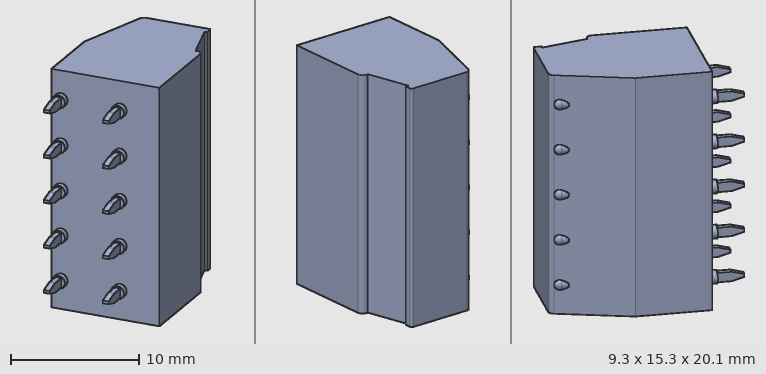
import cadquery as cq
import math

WIDTH = 9.3
DEPTH = 12.6
HEIGHT = 20.15

SLOPE_START = 6.17
SLOPE_ANGLE = 17.5
SLOPE_FILLET = 0.5

LIP_X = 7.92
LIP_HEIGHT = 0.7
LIP_UNDERCUT = 0.25
LIP_FILLET = 0.2
SHOULDER_Y = 8.1
SHOULDER_WIDTH = 0.62
SHOULDER_FILLET = 0.5

POLES = 5
PITCH = 3.81
FIRST_Z = (HEIGHT - (POLES - 1) * PITCH) / 2
PIN_COLUMNS = (0.85, 5.93)

COLLAR_DIAMETER = 1.1
COLLAR_LENGTH = 0.52
PIN_LENGTH = 2.7
BLADE_THICKNESS = 0.5
BLADE_WIDTH = 0.8
TAPER_START = 1.67
TIP_WIDTH = 0.25

BUTTON_RADIUS = 0.55
BUTTON_X = 2.1
BUTTON_Y = 11.71
BUTTON_LENGTH = 2.02


def make_housing():
    slope_run = (DEPTH - SLOPE_START) * math.tan(math.radians(SLOPE_ANGLE))
    lip_y = DEPTH - LIP_HEIGHT
    outline = [
        (0, 0),
        (0, SLOPE_START),
        (slope_run, DEPTH),
        (LIP_X, DEPTH),
        (LIP_X, lip_y),
        (LIP_X - LIP_UNDERCUT, lip_y),
        (WIDTH - SHOULDER_WIDTH, SHOULDER_Y),
        (WIDTH, SHOULDER_Y),
        (WIDTH, 0),
    ]
    housing = cq.Workplane("XY").polyline(outline).close().extrude(HEIGHT)

    def round_corner(body, x, y, radius):
        corner = cq.selectors.NearestToPointSelector((x, y, HEIGHT / 2))
        return body.edges("|Z").edges(corner).fillet(radius)

    housing = round_corner(housing, slope_run, DEPTH, SLOPE_FILLET)
    housing = round_corner(housing, LIP_X, DEPTH, LIP_FILLET)
    return round_corner(housing, WIDTH, SHOULDER_Y, SHOULDER_FILLET)


def make_pin(x, z):
    half_width = BLADE_WIDTH / 2
    half_tip = TIP_WIDTH / 2
    collar = (
        cq.Workplane("XZ")
        .center(x, z)
        .circle(COLLAR_DIAMETER / 2)
        .extrude(COLLAR_LENGTH)
    )
    blade_outline = [
        (0, z - half_width),
        (-TAPER_START, z - half_width),
        (-PIN_LENGTH, z - half_tip),
        (-PIN_LENGTH, z + half_tip),
        (-TAPER_START, z + half_width),
        (0, z + half_width),
    ]
    blade = (
        cq.Workplane("YZ", origin=(x - BLADE_THICKNESS / 2, 0, 0))
        .polyline(blade_outline)
        .close()
        .extrude(BLADE_THICKNESS)
    )
    return collar.union(blade)


def make_button(z):
    centre = (BUTTON_X, BUTTON_Y, z)
    shank = cq.Workplane("XZ", origin=centre).circle(BUTTON_RADIUS).extrude(BUTTON_LENGTH)
    dome = cq.Workplane("XY", origin=centre).sphere(BUTTON_RADIUS)
    return shank.union(dome)


result = make_housing()
for pole in range(POLES):
    pole_z = FIRST_Z + pole * PITCH
    result = result.union(make_button(pole_z))
    for pin_x in PIN_COLUMNS:
        result = result.union(make_pin(pin_x, pole_z))